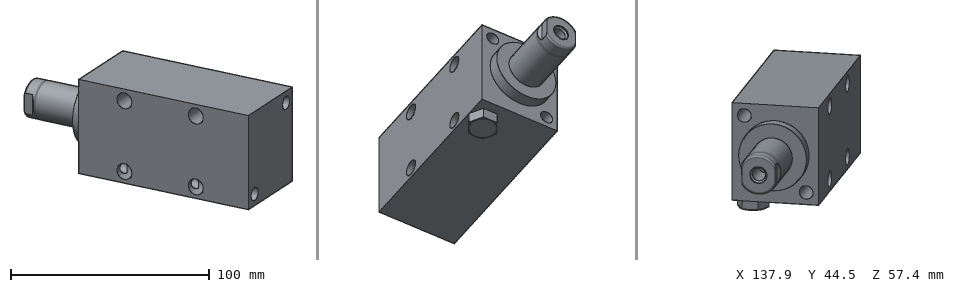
import cadquery as cq
import math

TOTAL_LENGTH = 137.9
TOTAL_HEIGHT = 57.4
BODY_START = 39.6
BODY_WIDTH = 44.5
BODY_HEIGHT = 51.0
BODY_LENGTH = TOTAL_LENGTH - BODY_START

COLLAR_START = 33.2
COLLAR_DIAMETER = 34.9
ROD_DIAMETER = 20.4
ROD_END_DIAMETER = 20.3
ROD_END_LENGTH = 6.6
ROD_STEP_LENGTH = 0.7
ROD_TIP_RADIUS = 1.0

FLAT_WIDTH = 17.0
FLAT_LENGTH = 4.8

BORE_DIAMETER = 6.8
BORE_MOUTH_DIAMETER = 8.5
BORE_MOUTH_DEPTH = 0.7
BORE_DEPTH = 16.5

HOLE_INSET = 6.3
CROSS_HOLE_DIAMETER = 8.5
CROSS_HOLE_POSITIONS = (66.0, 107.5)
LONG_HOLE_DIAMETER = 7.0

PLUG_X = 52.0
PLUG_ACROSS_FLATS = 14.2
PLUG_HEIGHT = TOTAL_HEIGHT - BODY_HEIGHT
PLUG_FACE_HEIGHT = 0.4
PLUG_CORNER_RADIUS = PLUG_ACROSS_FLATS / math.sqrt(3)
PLUG_Y = BODY_WIDTH / 2 - PLUG_CORNER_RADIUS


def cylinder_x(start, length, diameter):
    """Cylinder on the rod axis running toward +X."""
    return cq.Workplane("YZ", origin=(start, 0, 0)).circle(diameter / 2).extrude(length)


def make_body():
    hole_y = BODY_WIDTH / 2 - HOLE_INSET
    hole_z = BODY_HEIGHT / 2 - HOLE_INSET
    body = cq.Workplane("XY").box(BODY_LENGTH, BODY_WIDTH, BODY_HEIGHT)
    body = body.translate((BODY_START + BODY_LENGTH / 2, 0, 0))
    cross_points = [(x, z) for x in CROSS_HOLE_POSITIONS for z in (-hole_z, hole_z)]
    cross_holes = (
        cq.Workplane("XZ")
        .pushPoints(cross_points)
        .circle(CROSS_HOLE_DIAMETER / 2)
        .extrude(BODY_WIDTH / 2, both=True)
    )
    long_holes = (
        cq.Workplane("YZ", origin=(BODY_START, 0, 0))
        .pushPoints([(hole_y, hole_z), (-hole_y, -hole_z)])
        .circle(LONG_HOLE_DIAMETER / 2)
        .extrude(BODY_LENGTH)
    )
    return body.cut(cross_holes).cut(long_holes)


def make_rod():
    end_radius = ROD_END_DIAMETER / 2
    rod_radius = ROD_DIAMETER / 2
    rod = (
        cq.Workplane("XY")
        .moveTo(0, 0)
        .lineTo(0, end_radius - ROD_TIP_RADIUS)
        .radiusArc((ROD_TIP_RADIUS, end_radius), ROD_TIP_RADIUS)
        .lineTo(ROD_END_LENGTH, end_radius)
        .lineTo(ROD_END_LENGTH + ROD_STEP_LENGTH, rod_radius)
        .lineTo(BODY_START, rod_radius)
        .lineTo(BODY_START, 0)
        .close()
        .revolve(360, (0, 0, 0), (1, 0, 0))
    )
    return rod.cut(make_flat_cutter(1)).cut(make_flat_cutter(-1)).cut(make_bore())


def make_flat_cutter(side):
    """Removes one flat; its inner end rises outward at 45 degrees."""
    inner = FLAT_WIDTH / 2
    outer = ROD_DIAMETER / 2
    return (
        cq.Workplane("XY")
        .polyline([
            (0, side * inner),
            (FLAT_LENGTH, side * inner),
            (FLAT_LENGTH + outer - inner, side * outer),
            (0, side * outer),
        ])
        .close()
        .extrude(outer, both=True)
    )


def make_bore():
    """Bore with a wider mouth that narrows inward at 45 degrees."""
    bore_radius = BORE_DIAMETER / 2
    mouth_radius = BORE_MOUTH_DIAMETER / 2
    return (
        cq.Workplane("XY")
        .polyline([
            (0, 0),
            (0, mouth_radius),
            (BORE_MOUTH_DEPTH, mouth_radius),
            (BORE_MOUTH_DEPTH + mouth_radius - bore_radius, bore_radius),
            (BORE_DEPTH, bore_radius),
            (BORE_DEPTH, 0),
        ])
        .close()
        .revolve(360, (0, 0, 0), (1, 0, 0))
    )


def make_plug():
    """Hexagon with a thin round face at the bottom."""
    hexagon = (
        cq.Workplane("XY")
        .polygon(6, 2 * PLUG_CORNER_RADIUS)
        .extrude(PLUG_FACE_HEIGHT - PLUG_HEIGHT)
        .rotate((0, 0, 0), (0, 0, 1), 90)
    )
    face = cq.Workplane("XY").circle(PLUG_ACROSS_FLATS / 2).extrude(-PLUG_HEIGHT)
    return hexagon.union(face).translate((PLUG_X, PLUG_Y, -BODY_HEIGHT / 2))


collar = cylinder_x(COLLAR_START, BODY_START - COLLAR_START, COLLAR_DIAMETER)
result = make_body().union(collar).union(make_rod()).union(make_plug())